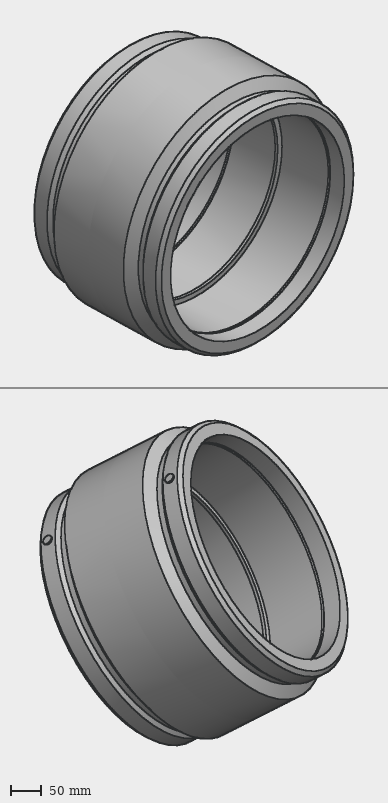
import cadquery as cq

length = 293.0
body_radius = 242.5
lip_radius = 228.0
neck_radius = 442.5 / 2
bore_radius = 400.0 / 2
rib_radius = 380.0 / 2

lip_chamfer = 7.0
lip_width = 42.5
neck_width = 10.5
shoulder_width = 13.0

rib_width = 6.0

groove_start = 33.0
groove_diameter = 4.0
groove_radius = groove_diameter / 2

pad_diameter = 17.0
pad_height = 2.5
pad_root_depth = 5.0

half_length = length / 2


def ring_half():
    """Revolve the half of the ring on the -X side, from end face to middle plane."""
    lip_end = -half_length + lip_width
    shoulder_start = lip_end + neck_width
    groove_x = -half_length + groove_start
    groove_end = groove_x + groove_diameter
    outline = (
        cq.Workplane("XY")
        .moveTo(-half_length, bore_radius)
        .lineTo(-half_length, lip_radius - lip_chamfer)
        .lineTo(-half_length + lip_chamfer, lip_radius)
        .lineTo(lip_end - lip_chamfer, lip_radius)
        .lineTo(lip_end, neck_radius)
        .lineTo(shoulder_start, neck_radius)
        .lineTo(shoulder_start + shoulder_width, body_radius)
        .lineTo(0, body_radius)
        .lineTo(0, rib_radius)
        .lineTo(-rib_width / 2, rib_radius)
        .lineTo(-rib_width / 2, bore_radius)
        .lineTo(groove_end, bore_radius)
        .threePointArc((groove_x + groove_radius, bore_radius + groove_radius), (groove_x, bore_radius))
        .close()
    )
    return outline.revolve(360, (0, 0, 0), (1, 0, 0))


def pad():
    """Make the pad centred on the -X lip, with its root sunk into the ring."""
    pad_x = -half_length + lip_width / 2
    root_y = lip_radius - pad_root_depth
    return (
        cq.Workplane("XZ", origin=(pad_x, root_y, 0))
        .circle(pad_diameter / 2)
        .extrude(-(pad_root_depth + pad_height))
    )


half = ring_half().union(pad())
result = half.union(half.mirror("YZ")).clean()